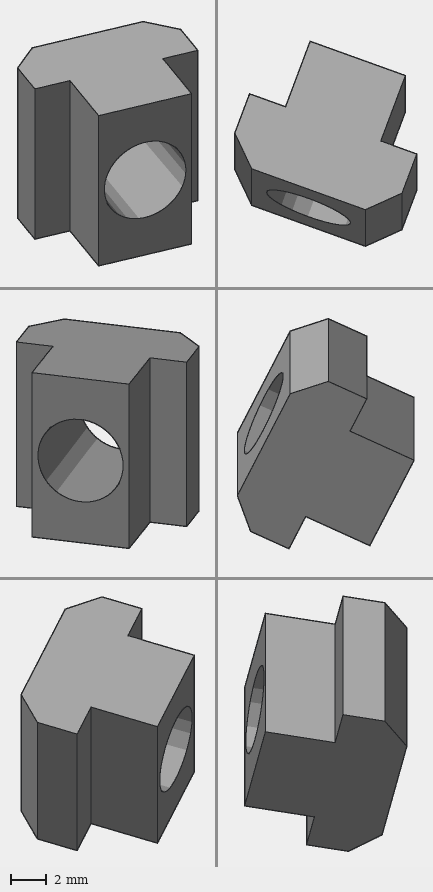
import cadquery as cq

depth = 8.0
width = 10.0
height = 10.0

flange_thickness = depth / 2
stem_width = 5.7
chamfer = 1.6

hole_diameter = 5.0


def t_section_body():
    """T-shaped prism with its flange on the -X side and its stem towards +X."""
    flange = (
        cq.Workplane("XY")
        .box(flange_thickness, width, height, centered=(False, True, True))
        .edges("|Z and <X")
        .chamfer(chamfer)
    )
    stem = cq.Workplane("XY").box(depth, stem_width, height, centered=(False, True, True))
    return flange.union(stem)


def through_hole():
    """Round bore along X through the middle of the flange and stem."""
    return cq.Workplane("YZ").circle(hole_diameter / 2).extrude(depth)


result = t_section_body().cut(through_hole())